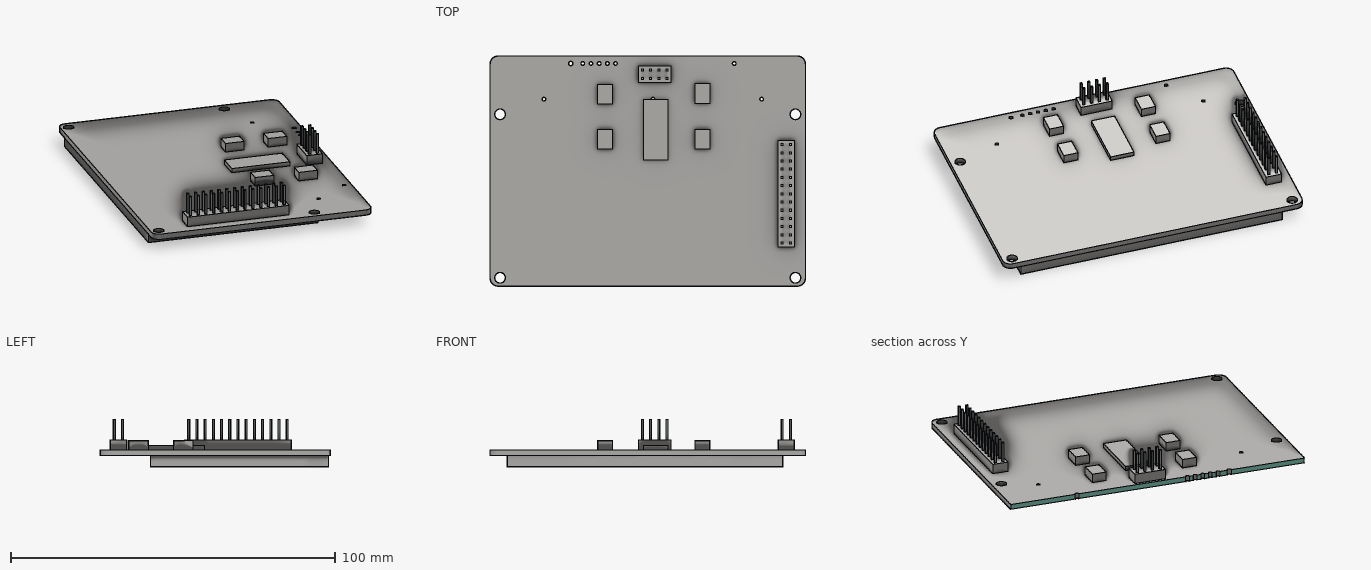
import cadquery as cq

BOARD_LENGTH = 97.25
BOARD_WIDTH = 71.0
BOARD_THICKNESS = 1.75
CORNER_RADIUS = 2.5
OVERALL_HEIGHT = 14.7

MOUNT_DIAMETER = 3.2
MOUNT_X = 45.5
MOUNT_Y_FRONT = -32.9
MOUNT_Y_BACK = 17.5

VIA_DIAMETER = 1.1
LARGE_VIA_DIAMETER = 1.3
BACK_ROW_Y = 33.2
BACK_ROW_FIRST_X = -20.0
BACK_ROW_COUNT = 5
LARGE_VIA_X = -23.7
LONE_VIA_X = 26.6
MIDDLE_ROW_Y = 22.2
MIDDLE_ROW_CENTRE_X = 1.6
MIDDLE_ROW_SPACING = 33.55

PANEL_LENGTH = 85.0
PANEL_WIDTH = 54.9
PANEL_HEIGHT = 3.5
PANEL_CENTRE = (-0.9, -7.5)

PIN_PITCH = 2.5
PIN_WIDTH = 0.63
HEADER_HEIGHT = 3.1
SMALL_HEADER_CENTRE = (2.1, 29.9)
SMALL_HEADER_PINS = (4, 2)
LARGE_HEADER_CENTRE = (42.7, -7.0)
LARGE_HEADER_PINS = (2, 13)

CHIP_LENGTH = 7.6
CHIP_WIDTH = 18.8
CHIP_HEIGHT = 1.4
CHIP_CENTRE = (2.4, 12.7)
BLOCK_LENGTH = 4.6
BLOCK_WIDTH = 6.0
BLOCK_HEIGHT = 2.8
BLOCK_CENTRES = [(-13.1, 23.6), (-13.1, 9.8), (16.8, 23.9), (16.8, 9.8)]

PIN_TOP = OVERALL_HEIGHT - PANEL_HEIGHT


def upright_box(length, width, bottom, top, centres):
    """Equal boxes between two heights, one at each centre."""
    return (
        cq.Workplane("XY", origin=(0, 0, bottom))
        .pushPoints(centres)
        .rect(length, width)
        .extrude(top - bottom)
    )


def on_board(length, width, height, centres):
    """Equal boxes standing on the top face of the board."""
    return upright_box(length, width, BOARD_THICKNESS, BOARD_THICKNESS + height, centres)


def drill(body, diameter, centres):
    """Round holes through the full thickness of the board."""
    drills = (
        cq.Workplane("XY")
        .pushPoints(centres)
        .circle(diameter / 2)
        .extrude(BOARD_THICKNESS)
    )
    return body.cut(drills)


def make_board():
    """Round-cornered plate with all its holes."""
    board = upright_box(BOARD_LENGTH, BOARD_WIDTH, 0, BOARD_THICKNESS, [(0, 0)])
    board = board.edges("|Z").fillet(CORNER_RADIUS)

    mounts = [(x, y) for x in (-MOUNT_X, MOUNT_X) for y in (MOUNT_Y_FRONT, MOUNT_Y_BACK)]
    board = drill(board, MOUNT_DIAMETER, mounts)

    back_row = [(BACK_ROW_FIRST_X + i * PIN_PITCH, BACK_ROW_Y) for i in range(BACK_ROW_COUNT)]
    middle_row = [(MIDDLE_ROW_CENTRE_X + i * MIDDLE_ROW_SPACING, MIDDLE_ROW_Y) for i in (-1, 0, 1)]
    board = drill(board, VIA_DIAMETER, back_row + middle_row + [(LONE_VIA_X, BACK_ROW_Y)])
    return drill(board, LARGE_VIA_DIAMETER, [(LARGE_VIA_X, BACK_ROW_Y)])


def make_header(centre, pin_counts):
    """Plastic body with a grid of pins rising from its top."""
    count_x, count_y = pin_counts
    body = on_board(count_x * PIN_PITCH, count_y * PIN_PITCH, HEADER_HEIGHT, [centre])
    pin_centres = [
        (
            centre[0] + (i - (count_x - 1) / 2) * PIN_PITCH,
            centre[1] + (j - (count_y - 1) / 2) * PIN_PITCH,
        )
        for i in range(count_x)
        for j in range(count_y)
    ]
    pins = upright_box(PIN_WIDTH, PIN_WIDTH, BOARD_THICKNESS + HEADER_HEIGHT, PIN_TOP, pin_centres)
    return body.union(pins)


result = (
    make_board()
    .union(upright_box(PANEL_LENGTH, PANEL_WIDTH, -PANEL_HEIGHT, 0, [PANEL_CENTRE]))
    .union(make_header(SMALL_HEADER_CENTRE, SMALL_HEADER_PINS))
    .union(make_header(LARGE_HEADER_CENTRE, LARGE_HEADER_PINS))
    .union(on_board(CHIP_LENGTH, CHIP_WIDTH, CHIP_HEIGHT, [CHIP_CENTRE]))
    .union(on_board(BLOCK_LENGTH, BLOCK_WIDTH, BLOCK_HEIGHT, BLOCK_CENTRES))
)